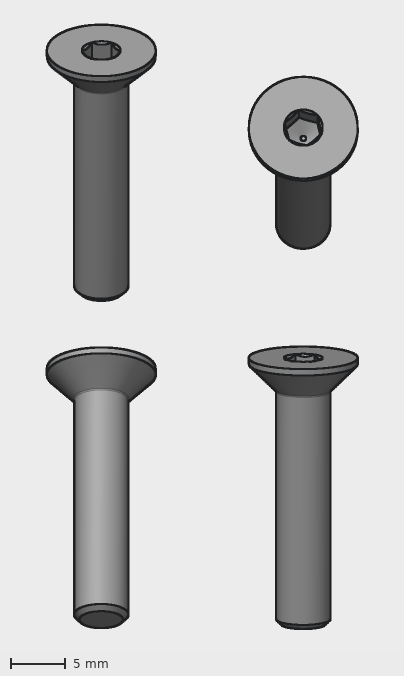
import cadquery as cq
import math

total_length = 25.0
head_diameter = 10.0
shank_diameter = 5.0

rim_height = 0.6
head_cone_angle = 90.0
neck_fillet_radius = 0.2

tip_chamfer = 0.5

socket_across_flats = 3.07
mouth_cone_angle = 90.0
socket_wall_depth = 1.9
floor_cone_angle = 120.0
floor_flat_diameter = 0.5

head_radius = head_diameter / 2
shank_radius = shank_diameter / 2
socket_across_corners = socket_across_flats / math.cos(math.radians(30))


def cone_height(large_diameter, small_diameter, included_angle):
    """Axial length of a cone frustum with the given included angle."""
    return (large_diameter - small_diameter) / 2 / math.tan(math.radians(included_angle / 2))


def make_frustum(top_z, top_diameter, bottom_diameter, height):
    """Cone frustum on the Z axis, narrowing downward from top_z."""
    profile = (
        cq.Workplane("XZ")
        .moveTo(0, top_z)
        .lineTo(top_diameter / 2, top_z)
        .lineTo(bottom_diameter / 2, top_z - height)
        .lineTo(0, top_z - height)
        .close()
    )
    return profile.revolve(360, (0, 0, 0), (0, 1, 0))


def make_screw_body():
    """Solid head and shank, with a fillet where the cone meets the shank."""
    rim_bottom_z = total_length - rim_height
    neck_z = rim_bottom_z - cone_height(head_diameter, shank_diameter, head_cone_angle)

    half_angle = math.radians(head_cone_angle / 2)
    tangent_length = neck_fillet_radius * math.tan(half_angle / 2)
    cone_tangent = (
        shank_radius + tangent_length * math.sin(half_angle),
        neck_z + tangent_length * math.cos(half_angle),
    )
    shank_tangent = (shank_radius, neck_z - tangent_length)
    fillet_centre_x = shank_radius + neck_fillet_radius
    fillet_middle = (
        fillet_centre_x - neck_fillet_radius * math.cos(half_angle / 2),
        shank_tangent[1] + neck_fillet_radius * math.sin(half_angle / 2),
    )

    profile = (
        cq.Workplane("XZ")
        .moveTo(0, 0)
        .lineTo(shank_radius - tip_chamfer, 0)
        .lineTo(shank_radius, tip_chamfer)
        .lineTo(*shank_tangent)
        .threePointArc(fillet_middle, cone_tangent)
        .lineTo(head_radius, rim_bottom_z)
        .lineTo(head_radius, total_length)
        .lineTo(0, total_length)
        .close()
    )
    return profile.revolve(360, (0, 0, 0), (0, 1, 0))


def make_socket():
    """Hexagonal recess with two flats facing +Y and -Y."""
    floor_height = cone_height(socket_across_corners, floor_flat_diameter, floor_cone_angle)
    floor_top_z = total_length - socket_wall_depth
    floor_bottom_z = floor_top_z - floor_height

    hexagon = (
        cq.Workplane("XY", origin=(0, 0, floor_bottom_z))
        .polygon(6, socket_across_corners)
        .extrude(total_length - floor_bottom_z)
    )
    wall_envelope = (
        cq.Workplane("XY", origin=(0, 0, floor_top_z))
        .circle(socket_across_corners / 2)
        .extrude(socket_wall_depth)
    )
    floor_cone = make_frustum(floor_top_z, socket_across_corners, floor_flat_diameter, floor_height)
    recess = hexagon.intersect(wall_envelope.union(floor_cone))

    mouth_height = cone_height(socket_across_corners, socket_across_flats, mouth_cone_angle)
    mouth = make_frustum(total_length, socket_across_corners, socket_across_flats, mouth_height)
    return recess.union(mouth)


result = make_screw_body().cut(make_socket())